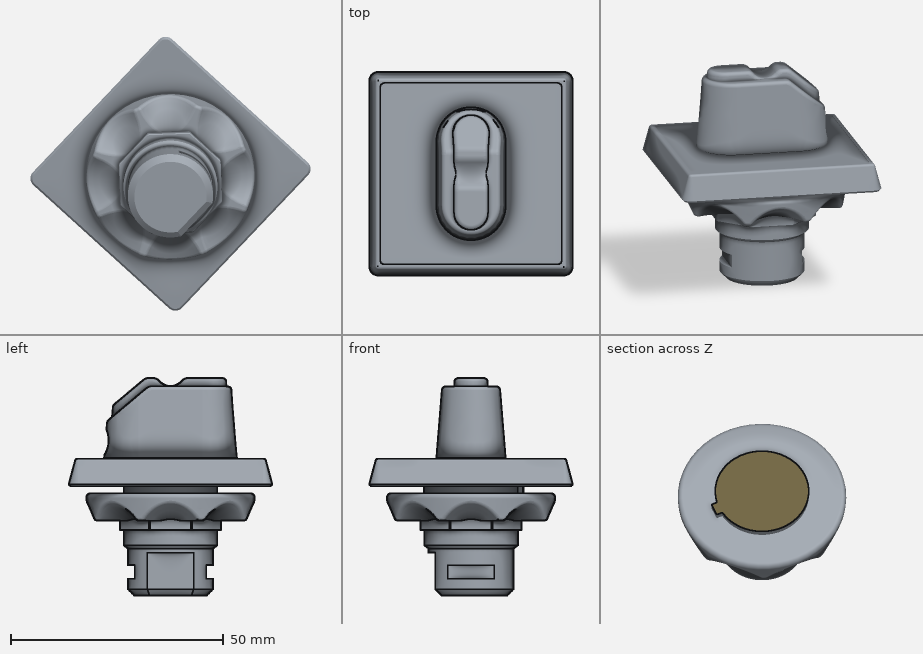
import cadquery as cq
import math


overall_height = 51.3

body_bottom = -25.7
thread_radius = 11.1
thread_bottom = -14.6
thread_cone_height = 0.8
barrel_radius = 10.05
barrel_chamfer = 1.55
flat_distance = 8.45
flat_top = -15.6
slot_bottom = -21.7
slot_height = 3.2
key_reach = 12.4
key_width = 3.2
key_edge_chamfer = 0.2

nut_top = -1.55
rim_bottom = -8.05
hub_bottom = -10.35
hub_across_flats = 24.0
hub_sides = 8
hub_edge_chamfer = 0.2
rim_top_radius = 20.0
rim_bottom_radius = 19.25
rim_top_fillet = 1.15
scallop_count = 8
scallop_radius = 8.7
scallop_outer_height = 4.4
scallop_slope = 27.0
rim_edge_fillet = 0.8
rounded_edge_start = 1.05

plate_side = 48.0
plate_height = 6.55
plate_corner_radius = 2.2
plate_draft = 15.0
plate_base_chamfer = 0.5
plate_base_chamfer_angle = 45.0
plate_top_fillet = 0.7
plate_border = 2.6
inset_corner_radius = 1.05
inset_depth = 0.1

knob_radius = 8.2
knob_center_offset = 7.5
knob_draft = 4.6
knob_foot_chamfer_height = 0.5
knob_foot_chamfer_width = 0.25
deck_height = 23.6
ridge_height = overall_height + body_bottom
ridge_top_radius = 3.85
ridge_center_offset = 9.25
knob_edge_fillet = 1.0
slope_angle = 40.0
deck_bend_y = 5.2
ridge_bend_y = 5.85
bend_radius = 2.0
scoop_radius = 3.6
scoop_depth = 1.9
hollow_radius = 6.7
hollow_axis_y = 21.35
hollow_axis_height = 10.9

knob_seat = plate_height - inset_depth
upward_limit = 0.5
knob_reach = 2 * (knob_center_offset + knob_radius)


def make_body():
    """Stepped threaded barrel with a key under the plate, a flat on -X and two side slots."""
    thread = cq.Workplane("XY").workplane(offset=thread_bottom).circle(thread_radius).extrude(-thread_bottom)
    thread = thread.faces("<Z").chamfer(thread_cone_height, thread_radius - barrel_radius)

    barrel_height = thread_bottom - body_bottom
    barrel = cq.Workplane("XY").workplane(offset=body_bottom).circle(barrel_radius).extrude(barrel_height)
    flat_height = flat_top - body_bottom
    flat_cut = (
        cq.Workplane("XY")
        .box(barrel_radius, 2 * barrel_radius, flat_height, centered=(False, True, False))
        .translate((-flat_distance - barrel_radius, 0, body_bottom))
    )
    barrel = barrel.cut(flat_cut).faces("<Z").chamfer(barrel_chamfer)
    for side in (-1, 1):
        slot = (
            cq.Workplane("XY")
            .box(2 * barrel_radius, barrel_radius, slot_height, centered=(True, True, False))
            .translate((0, side * (flat_distance + barrel_radius / 2), slot_bottom))
        )
        barrel = barrel.cut(slot)

    key = (
        cq.Workplane("XY")
        .box(key_reach, key_width, -nut_top, centered=(False, True, False))
        .translate((0, 0, nut_top))
        .faces(">X").edges("|Z").chamfer(key_edge_chamfer)
    )
    return thread.union(barrel).union(key)


def make_nut():
    """Conical rim with scallops cut into its lower edge, on an octagonal hub."""
    rim = (
        cq.Workplane("XZ")
        .polyline([
            (0, rim_bottom),
            (rim_bottom_radius, rim_bottom),
            (rim_top_radius, nut_top),
            (0, nut_top),
        ])
        .close()
        .revolve(360, (0, 0, 0), (0, 1, 0))
        .faces(">Z").edges().fillet(rim_top_fillet)
    )
    cutter = (
        cq.Workplane("YZ")
        .circle(scallop_radius)
        .extrude(rim_top_radius, both=True)
        .translate((0, 0, -scallop_radius))
        .rotate((0, 0, 0), (0, 1, 0), -scallop_slope)
        .translate((rim_top_radius, 0, rim_bottom + scallop_outer_height))
    )
    for index in range(scallop_count):
        rim = rim.cut(cutter.rotate((0, 0, 0), (0, 0, 1), index * 360 / scallop_count))
    edge_limit = rim_bottom + rounded_edge_start
    lower_edges = rim.edges().filter(lambda edge: edge.BoundingBox().zmin < edge_limit)
    rim = lower_edges.fillet(rim_edge_fillet)

    hub_across_corners = hub_across_flats / math.cos(math.pi / hub_sides)
    hub = (
        cq.Workplane("XY").workplane(offset=hub_bottom)
        .polygon(hub_sides, hub_across_corners)
        .extrude(nut_top - rim_top_fillet - hub_bottom)
        .rotate((0, 0, 0), (0, 0, 1), 180 / hub_sides)
        .edges("|Z").chamfer(hub_edge_chamfer)
        .faces("<Z").chamfer(hub_edge_chamfer)
    )
    bore = cq.Workplane("XY").workplane(offset=hub_bottom).circle(thread_radius).extrude(nut_top - hub_bottom)
    return rim.union(hub).cut(bore)


def rounded_square(side, radius, base_z):
    """Square sketch with rounded corners at the given height."""
    return (
        cq.Workplane("XY").workplane(offset=base_z)
        .sketch().rect(side, side).vertices().fillet(radius).finalize()
    )


def make_plate():
    """Drafted square plate with a chamfered foot, a filleted top edge and a shallow inset."""
    skirt = rounded_square(plate_side, plate_corner_radius, plate_base_chamfer).extrude(
        plate_height - plate_base_chamfer, taper=plate_draft)
    skirt = skirt.faces(">Z").edges().fillet(plate_top_fillet)
    foot = rounded_square(plate_side, plate_corner_radius, plate_base_chamfer).extrude(
        -plate_base_chamfer, taper=plate_base_chamfer_angle)
    inset = rounded_square(plate_side - 2 * plate_border, inset_corner_radius, knob_seat).extrude(inset_depth)
    return skirt.union(foot).cut(inset)


def tapered_stadium(center_offset, radius, height):
    """Upright stadium along Y that narrows upward from the knob seat."""
    return (
        cq.Workplane("XY").workplane(offset=knob_seat)
        .slot2D(2 * (center_offset + radius), 2 * radius, 90)
        .extrude(height - knob_seat, taper=knob_draft)
    )


def sloped_prism(height, bend_y):
    """Wide prism along X, flat on top up to bend_y and sloping down from there toward +Y."""
    slope_drop = (knob_reach - bend_y) * math.tan(math.radians(slope_angle))
    return (
        cq.Workplane("YZ")
        .polyline([
            (-knob_reach, height - slope_drop),
            (knob_reach, height - slope_drop),
            (bend_y, height),
            (-knob_reach, height),
        ])
        .close()
        .extrude(2 * knob_radius, both=True)
        .edges(cq.selectors.NearestToPointSelector((0, bend_y, height)))
        .fillet(bend_radius)
    )


def cross_cylinder(axis_y, axis_z, radius):
    """Cylinder along X, longer than the knob is wide."""
    return (
        cq.Workplane("YZ")
        .center(axis_y, axis_z)
        .circle(radius)
        .extrude(2 * knob_radius, both=True)
    )


def round_top_outline(solid):
    """Fillet the outline of the upward faces, leaving the bends that run along X."""
    top_faces = solid.faces().filter(lambda face: face.normalAt().z > upward_limit)
    return top_faces.edges("not |X").fillet(knob_edge_fillet)


def make_grip():
    """Drafted stadium with a chamfered foot and a sloped +Y end that is hollowed for a finger."""
    grip = tapered_stadium(knob_center_offset, knob_radius, deck_height)
    grip = grip.faces("<Z").chamfer(knob_foot_chamfer_height, knob_foot_chamfer_width)
    grip = grip.intersect(sloped_prism(deck_height, deck_bend_y))
    grip = round_top_outline(grip)
    return grip.cut(cross_cylinder(hollow_axis_y, hollow_axis_height, hollow_radius))


def make_ridge():
    """Narrow stadium standing out of the grip, sloped alongside it, with a thumb scoop across."""
    ridge_base_radius = ridge_top_radius + (ridge_height - knob_seat) * math.tan(math.radians(knob_draft))
    ridge = tapered_stadium(ridge_center_offset, ridge_base_radius, ridge_height)
    scoop = cross_cylinder(0, ridge_height - scoop_depth + scoop_radius, scoop_radius)
    profile = sloped_prism(ridge_height, ridge_bend_y).cut(scoop)
    lip_y = math.sqrt(scoop_radius**2 - (scoop_radius - scoop_depth) ** 2)
    for side in (-1, 1):
        lip = cq.selectors.NearestToPointSelector((0, side * lip_y, ridge_height))
        profile = profile.edges(lip).fillet(bend_radius)
    return round_top_outline(ridge.intersect(profile))


body = make_body()
nut = make_nut()
plate = make_plate()
knob = make_grip().union(make_ridge())

result = cq.Compound.makeCompound([part.solids().val() for part in (body, nut, plate, knob)])